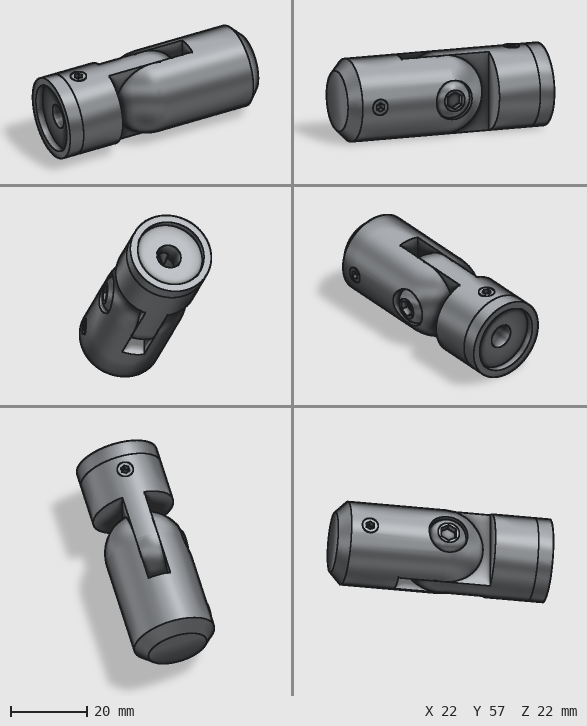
import cadquery as cq
import math

body_radius = 11.0
ring_end_y = -28.0
chamfer_end_y = 29.0

tongue_width = 6.0
shoulder_y = -12.5
slot_floor_y = 12.0
end_chamfer = 3.0

ring_length = 4.0
spigot_radius = 9.0
spigot_recess = 2.0
bore_radius = 3.25
bore_tip_y = -17.0
drill_angle = 118

head_radius = 5.25
head_top_radius = 2.85
head_height = 3.3
head_dome_radius = 3.7
head_top_x = -10.7
shank_radius = 3.0
shank_length = 15.95
head_socket_flats = 4.0
head_socket_depth = 2.1

set_screw_radius = 2.1
set_screw_inset = 8.0
set_screw_point_length = 5.2
set_screw_socket_flats = 2.0
set_screw_socket_depth = 2.3

ring_inner_y = ring_end_y + ring_length
spigot_end_y = ring_end_y + spigot_recess
head_base_x = head_top_x + head_height
set_screw_length = body_radius
fork_screw_y = chamfer_end_y - set_screw_inset
tongue_screw_y = ring_end_y + set_screw_inset


def rod(radius, start_y, end_y):
    """Cylinder along the Y axis."""
    return cq.Workplane("XZ", origin=(0, start_y, 0)).circle(radius).extrude(start_y - end_y)


def slab(start_y, end_y):
    """Block as thick as the tongue, wider than the joint in Z."""
    length = end_y - start_y
    middle = (start_y + end_y) / 2
    return cq.Workplane("XY").box(tongue_width, length, 3 * body_radius).translate((0, middle, 0))


def drill_point_length(radius):
    """Length of the cone that a drill leaves at the end of a hole."""
    return radius / math.tan(math.radians(drill_angle / 2))


def hex_cutter(flats, depth):
    """Hexagonal prism from Z = 0 downward, with two corners on the X axis."""
    corner_diameter = flats / math.cos(math.pi / 6)
    return cq.Workplane("XY").polygon(6, corner_diameter).extrude(-depth)


def face_minus_x(shape, x, y=0):
    """Turn a shape built along Z so that its +Z end faces -X, and move it to (x, y)."""
    return shape.rotate((0, 0, 0), (0, 1, 0), -90).translate((x, y, 0))


def set_screw_blank():
    """Cone-pointed screw without its socket, head at Z = 0 and point downward."""
    return (
        cq.Workplane("XZ")
        .lineTo(set_screw_radius, 0)
        .lineTo(set_screw_radius, set_screw_point_length - set_screw_length)
        .lineTo(0, -set_screw_length)
        .close()
        .revolve(360, (0, 0, 0), (0, 1, 0))
    )


def set_screw_socket():
    """Hexagonal socket with a conical floor."""
    tip_radius = set_screw_socket_flats / 2
    tip = cq.Solid.makeCone(
        tip_radius, 0, drill_point_length(tip_radius),
        pnt=cq.Vector(0, 0, -set_screw_socket_depth), dir=cq.Vector(0, 0, -1),
    )
    return hex_cutter(set_screw_socket_flats, set_screw_socket_depth).union(cq.Workplane(tip))


def place_in_fork(shape):
    return face_minus_x(shape, -body_radius, fork_screw_y)


def place_in_tongue(shape):
    turned = shape.rotate((0, 0, 0), (0, 0, 1), 90)
    return turned.translate((0, tongue_screw_y, body_radius))


def pivot_screw():
    """Button-head screw with a hexagonal socket."""
    blank = (
        cq.Workplane("XZ")
        .lineTo(head_top_radius, 0)
        .radiusArc((head_radius, -head_height), head_dome_radius)
        .lineTo(shank_radius, -head_height)
        .lineTo(shank_radius, -head_height - shank_length)
        .lineTo(0, -head_height - shank_length)
        .close()
        .revolve(360, (0, 0, 0), (0, 1, 0))
    )
    screw = blank.cut(hex_cutter(head_socket_flats, head_socket_depth))
    return face_minus_x(screw, head_top_x)


def pivot_hole():
    """Shank hole and the counterbore that takes the head."""
    floor = cq.Workplane("YZ", origin=(head_base_x, 0, 0))
    shank_hole = floor.circle(shank_radius).extrude(shank_length)
    counterbore = floor.circle(head_radius).extrude(-body_radius)
    return shank_hole.union(counterbore)


def fork():
    body = rod(body_radius, 0, chamfer_end_y).faces(">Y").chamfer(end_chamfer)
    body = body.union(cq.Workplane("XY").sphere(body_radius))
    body = body.cut(slab(-2 * body_radius, slot_floor_y))
    return body.cut(pivot_hole()).cut(place_in_fork(set_screw_blank()))


def bore():
    """Drilled hole with a conical end."""
    return (
        cq.Workplane("XY")
        .moveTo(0, ring_end_y)
        .lineTo(bore_radius, ring_end_y)
        .lineTo(bore_radius, bore_tip_y - drill_point_length(bore_radius))
        .lineTo(0, bore_tip_y)
        .close()
        .revolve(360, (0, 0, 0), (0, 1, 0))
    )


def tongue():
    blade = rod(body_radius, shoulder_y, 0).union(cq.Workplane("XY").sphere(body_radius))
    blade = blade.intersect(slab(shoulder_y, body_radius))
    body = rod(body_radius, ring_inner_y, shoulder_y).union(blade)
    body = body.union(rod(spigot_radius, spigot_end_y, ring_inner_y))
    return body.cut(bore()).cut(pivot_hole()).cut(place_in_tongue(set_screw_blank()))


def ring():
    return rod(body_radius, ring_end_y, ring_inner_y).cut(rod(spigot_radius, ring_end_y, ring_inner_y))


set_screws = [
    place(set_screw_blank().cut(set_screw_socket()))
    for place in (place_in_fork, place_in_tongue)
]
result = cq.Compound.makeCompound(
    [
        fork().val(),
        tongue().val(),
        ring().val(),
        pivot_screw().val(),
        *[screw.val() for screw in set_screws],
    ]
)